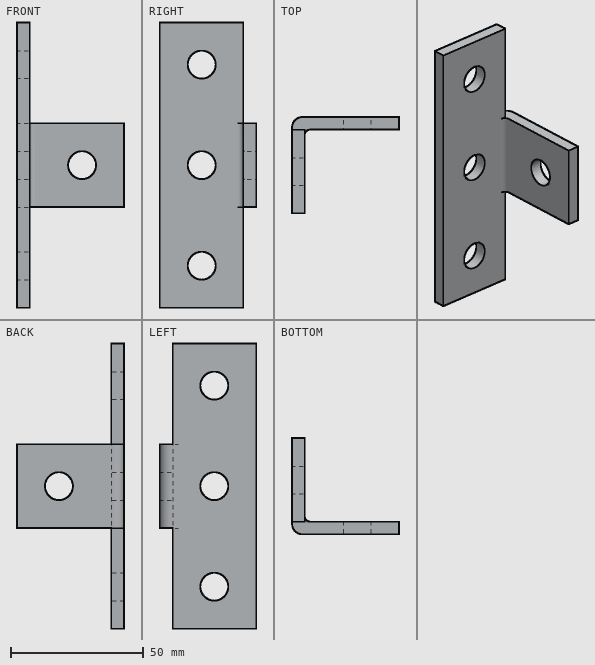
import cadquery as cq
import math

plate_height = 107.9
overall_x = 40.5
overall_y = 36.5

thickness = 4.9
outer_bend_radius = 4.0
inner_bend_radius = 1.9

flange_width = 31.7
plate_width = overall_y - thickness
hole_diameter = 10.5
hole_edge_distance = flange_width / 2
hole_pitch = 38.0

tab_inner_y = overall_y - thickness


def make_plate():
    """Tall flange with three holes in a vertical row."""
    plate = cq.Workplane("XY").box(thickness, plate_width, plate_height, centered=(False, False, True))
    holes = (
        cq.Workplane("YZ")
        .pushPoints([(hole_edge_distance, row * hole_pitch) for row in (-1, 0, 1)])
        .circle(hole_diameter / 2)
        .extrude(thickness)
    )
    return plate.cut(holes)


def make_tab():
    """Short flange with its rounded outer bend and one hole."""
    tab = (
        cq.Workplane("XY")
        .box(overall_x, thickness, flange_width, centered=(False, False, True))
        .edges("|Z and <X and >Y")
        .fillet(outer_bend_radius)
        .translate((0, tab_inner_y, 0))
    )
    hole = (
        cq.Workplane("XZ", origin=(0, overall_y, 0))
        .center(overall_x - hole_edge_distance, 0)
        .circle(hole_diameter / 2)
        .extrude(thickness)
    )
    return tab.cut(hole)


def make_inner_bend():
    """Concave fillet filling the inside corner between the flanges."""
    reach = inner_bend_radius
    setback = reach * (1 - math.cos(math.pi / 4))
    return (
        cq.Workplane("XY", origin=(thickness, tab_inner_y, -flange_width / 2))
        .lineTo(0, -reach)
        .threePointArc((setback, -setback), (reach, 0))
        .close()
        .extrude(flange_width)
    )


result = make_plate().union(make_tab()).union(make_inner_bend())